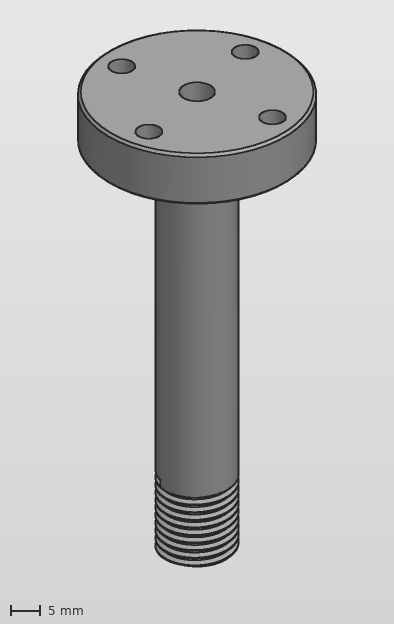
import cadquery as cq
import math

total_height = 90.0
flange_diameter = 40.0
flange_thickness = 10.0
flange_chamfer = 0.5
shaft_diameter = 14.0

bore_diameter = 6.0
bolt_hole_diameter = 4.5
bolt_circle_diameter = 30.0
bolt_hole_count = 4

thread_pitch = 1.5
flank_half_angle = 30.0
thread_end_height = 14.7
thread_end_angle = 240.0
thread_turns = 11
cutter_overlap = 0.08

shaft_radius = shaft_diameter / 2
flange_bottom = total_height - flange_thickness

sharp_v_height = thread_pitch * math.sqrt(3) / 2
thread_depth = sharp_v_height * 5 / 8
root_width = thread_pitch / 4
flank_slope = math.tan(math.radians(flank_half_angle))


def make_flange():
    """Round flange at the top, chamfered on both rims."""
    return (
        cq.Workplane("XY", origin=(0, 0, flange_bottom))
        .circle(flange_diameter / 2)
        .extrude(flange_thickness)
        .edges()
        .chamfer(flange_chamfer)
    )


def make_shaft():
    """Plain shaft from the lower end face up to the flange."""
    return cq.Workplane("XY").circle(shaft_radius).extrude(flange_bottom)


def make_thread_groove():
    """Trapezoidal groove swept along a helix, ending abruptly at the top of the thread."""
    helix_height = thread_turns * thread_pitch
    root_radius = shaft_radius - thread_depth
    outer_radius = shaft_radius + cutter_overlap
    root_half = root_width / 2
    outer_half = root_half + (outer_radius - root_radius) * flank_slope
    helix = cq.Workplane(obj=cq.Wire.makeHelix(thread_pitch, helix_height, shaft_radius))
    groove = (
        cq.Workplane("XZ")
        .moveTo(root_radius, -root_half)
        .lineTo(outer_radius, -outer_half)
        .lineTo(outer_radius, outer_half)
        .lineTo(root_radius, root_half)
        .close()
        .sweep(helix, isFrenet=True)
    )
    return groove.rotate((0, 0, 0), (0, 0, 1), thread_end_angle).translate(
        (0, 0, thread_end_height - helix_height)
    )


def make_holes():
    """Axial bore through the whole part and the ring of bolt holes through the flange."""
    bore = cq.Workplane("XY").circle(bore_diameter / 2).extrude(total_height)
    bolt_holes = (
        cq.Workplane("XY", origin=(0, 0, flange_bottom))
        .polarArray(bolt_circle_diameter / 2, 0, 360, bolt_hole_count)
        .circle(bolt_hole_diameter / 2)
        .extrude(flange_thickness)
    )
    return bore.add(bolt_holes).combine()


threaded_shaft = make_shaft().cut(make_thread_groove())
result = threaded_shaft.union(make_flange()).cut(make_holes())